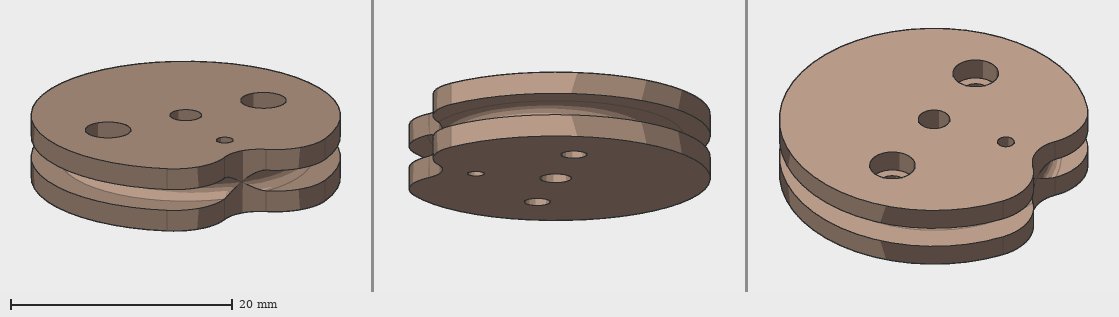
import cadquery as cq
import math

disc_radius = 13.97
thickness = 6.0
flange_thickness = thickness / 3

notch_radius = 3.46
lobe_radius = 5.0

groove_floor_radius = 10.5
groove_floor_round = (thickness - 2 * flange_thickness) / 2

center_hole_diameter = 2.85
pin_hole_diameter = 1.5
pin_hole_x = 7.35
screw_hole_diameter = 2.35
screw_head_diameter = 4.1
screw_head_depth = 2.0
screw_offset_y = 8.0


def disc_outline():
    """Outline of the disc, with the lobes tangent to both the disc and the notch."""
    lobe_distance = disc_radius - lobe_radius
    lobe_to_notch = lobe_radius + notch_radius
    lobe_x = (lobe_distance**2 + disc_radius**2 - lobe_to_notch**2) / (2 * disc_radius)
    lobe_y = math.sqrt(lobe_distance**2 - lobe_x**2)

    lobe_start_x = lobe_x * disc_radius / lobe_distance
    lobe_start_y = lobe_y * disc_radius / lobe_distance
    lobe_end_x = lobe_x + (disc_radius - lobe_x) * lobe_radius / lobe_to_notch
    lobe_end_y = lobe_y * notch_radius / lobe_to_notch
    lobe_tip_x = lobe_x + lobe_radius

    return (
        cq.Workplane("XY")
        .moveTo(lobe_start_x, lobe_start_y)
        .threePointArc((-disc_radius, 0), (lobe_start_x, -lobe_start_y))
        .threePointArc((lobe_tip_x, -lobe_y), (lobe_end_x, -lobe_end_y))
        .threePointArc((disc_radius - notch_radius, 0), (lobe_end_x, lobe_end_y))
        .threePointArc((lobe_tip_x, lobe_y), (lobe_start_x, lobe_start_y))
        .close()
    )


def rim_groove():
    """Ring swept around the disc axis that leaves a rounded groove in the rim."""
    outer_radius = disc_radius + 0.28
    side_radius = groove_floor_radius + groove_floor_round
    bottom = flange_thickness
    top = thickness - flange_thickness
    return (
        cq.Workplane("XZ")
        .moveTo(outer_radius, bottom)
        .lineTo(side_radius, bottom)
        .radiusArc((groove_floor_radius, thickness / 2), groove_floor_round)
        .radiusArc((side_radius, top), groove_floor_round)
        .lineTo(outer_radius, top)
        .close()
        .revolve(360, (0, 0, 0), (0, 1, 0))
    )


body = disc_outline().extrude(thickness).cut(rim_groove())

for hole_x, diameter in ((0, center_hole_diameter), (pin_hole_x, pin_hole_diameter)):
    body = body.cut(cq.Workplane("XY").center(hole_x, 0).circle(diameter / 2).extrude(thickness))

result = (
    body.faces(">Z")
    .workplane(origin=(0, 0, thickness))
    .pushPoints([(0, screw_offset_y), (0, -screw_offset_y)])
    .cboreHole(screw_hole_diameter, screw_head_diameter, screw_head_depth)
)